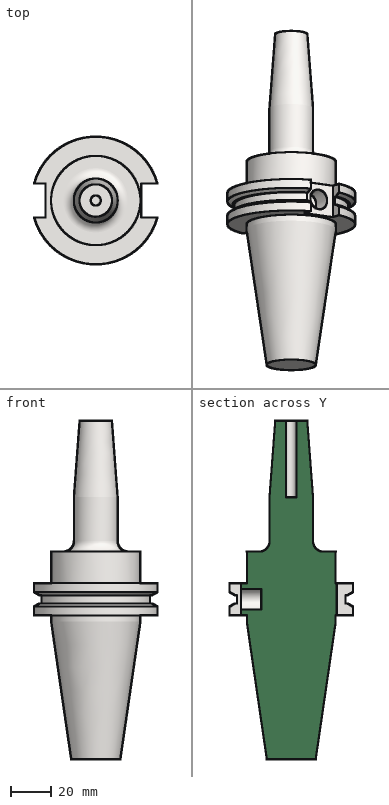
import cadquery as cq
import math

total_length = 168.2

gauge_radius = 22.2
gauge_z = 68.3
taper_rate = 7 / 24
shank_end_radius = gauge_radius - gauge_z * taper_rate / 2

flange_radius = 31.8
gauge_to_flange = 3.2
flange_bottom_z = gauge_z + gauge_to_flange
flange_thickness = 16.0
flange_top_z = flange_bottom_z + flange_thickness
flange_mid_z = flange_bottom_z + flange_thickness / 2
groove_mouth_width = 7.0
groove_flank_angle = 30.0
relief_width = 4.0
relief_radius = 28.3
groove_flank_rise = (groove_mouth_width - relief_width) / 2
groove_flank_depth = groove_flank_rise / math.tan(math.radians(groove_flank_angle))
groove_flank_end_radius = flange_radius - groove_flank_depth

slot_width = 16.7
slot_floor_left = 25.0
slot_floor_right = 22.7

side_hole_diameter = 10.0
side_hole_depth = 10.1

collar_radius = gauge_radius
collar_height = 15.8
collar_top_z = flange_top_z + collar_height
neck_radius = 11.0
neck_fillet = 5.0
nose_length = 38.0
nose_tip_radius = 8.0
nose_base_z = total_length - nose_length

tool_bore_diameter = 5.0
tool_bore_depth = nose_length


def make_body():
    """Revolve the half-profile of the holder about Z."""
    fillet_diagonal = neck_fillet * (1 - math.sqrt(0.5))
    fillet_middle = (neck_radius + fillet_diagonal, collar_top_z + fillet_diagonal)
    return (
        cq.Workplane("XZ")
        .moveTo(0, 0)
        .lineTo(shank_end_radius, 0)
        .lineTo(gauge_radius, gauge_z)
        .lineTo(gauge_radius, flange_bottom_z)
        .lineTo(flange_radius, flange_bottom_z)
        .lineTo(flange_radius, flange_mid_z - groove_mouth_width / 2)
        .lineTo(groove_flank_end_radius, flange_mid_z - relief_width / 2)
        .lineTo(relief_radius, flange_mid_z - relief_width / 2)
        .lineTo(relief_radius, flange_mid_z + relief_width / 2)
        .lineTo(groove_flank_end_radius, flange_mid_z + relief_width / 2)
        .lineTo(flange_radius, flange_mid_z + groove_mouth_width / 2)
        .lineTo(flange_radius, flange_top_z)
        .lineTo(collar_radius, flange_top_z)
        .lineTo(collar_radius, collar_top_z)
        .lineTo(neck_radius + neck_fillet, collar_top_z)
        .threePointArc(fillet_middle, (neck_radius, collar_top_z + neck_fillet))
        .lineTo(neck_radius, nose_base_z)
        .lineTo(nose_tip_radius, total_length)
        .lineTo(0, total_length)
        .close()
        .revolve(360, (0, 0), (0, 1))
    )


def make_drive_slot(side, floor):
    """Cutter for a slot on the side of the sign of X, reaching in to the floor distance."""
    return (
        cq.Workplane("XY", origin=(side * (floor + flange_radius / 2), 0, flange_mid_z))
        .box(flange_radius, slot_width, flange_thickness)
    )


def make_side_hole():
    """Cutter drilled along +X from the floor of the -X slot."""
    return (
        cq.Workplane("YZ", origin=(-slot_floor_left, 0, flange_mid_z))
        .circle(side_hole_diameter / 2)
        .extrude(side_hole_depth)
    )


def make_tool_bore():
    """Cutter drilled down the axis from the nose tip."""
    return (
        cq.Workplane("XY", origin=(0, 0, total_length))
        .circle(tool_bore_diameter / 2)
        .extrude(-tool_bore_depth)
    )


result = (
    make_body()
    .cut(make_drive_slot(-1, slot_floor_left))
    .cut(make_drive_slot(1, slot_floor_right))
    .cut(make_side_hole())
    .cut(make_tool_bore())
)